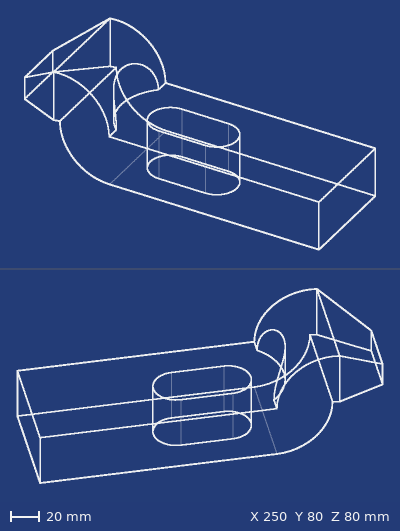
import cadquery as cq

length = 250.0
width = 80.0
bar_height = 40.0
bend_radius = bar_height

nose_length = 35.0
tip_width = width / 2
tip_bottom = 34.5
tip_top = 52.5

slot_width = 32.5
slot_length = 70.0
slot_start = 90.5
washer_radius = 40.0

upper_center_x = bend_radius
lower_center_x = upper_center_x + bend_radius
diagonal = bend_radius * 0.5 ** 0.5


def round_height(x):
    """Height of the upper round's surface at position x."""
    return bar_height + (bend_radius**2 - (x - upper_center_x) ** 2) ** 0.5


def make_body():
    """Side profile of nose, gooseneck and bar, extruded over the width."""
    return (
        cq.Workplane("XZ")
        .moveTo(0, tip_bottom)
        .lineTo(upper_center_x, bar_height)
        .threePointArc(
            (lower_center_x - diagonal, bar_height - diagonal),
            (lower_center_x, 0),
        )
        .lineTo(length, 0)
        .lineTo(length, bar_height)
        .lineTo(lower_center_x, bar_height)
        .threePointArc(
            (upper_center_x + diagonal, bar_height + diagonal),
            (nose_length, round_height(nose_length)),
        )
        .lineTo(0, tip_top)
        .close()
        .extrude(width / 2, both=True)
    )


def make_nose_side_cut(side):
    """Wedge that tapers one side of the nose; side is +1 or -1."""
    return (
        cq.Workplane("XY")
        .moveTo(0, side * tip_width / 2)
        .lineTo(nose_length, side * width / 2)
        .lineTo(0, side * width / 2)
        .close()
        .extrude(2 * bar_height)
    )


def make_slot():
    """Through slot for the clamping bolt."""
    return (
        cq.Workplane("XY")
        .center(slot_start + slot_length / 2, 0)
        .slot2D(slot_length, slot_width)
        .extrude(bar_height)
    )


def make_washer_clearance():
    """Round relief in the gooseneck, concentric with the slot's front end."""
    return (
        cq.Workplane("XY", origin=(slot_start + slot_width / 2, 0, bar_height))
        .circle(washer_radius)
        .extrude(bar_height)
    )


result = make_body().cut(make_slot()).cut(make_washer_clearance())
for side in (1, -1):
    result = result.cut(make_nose_side_cut(side))